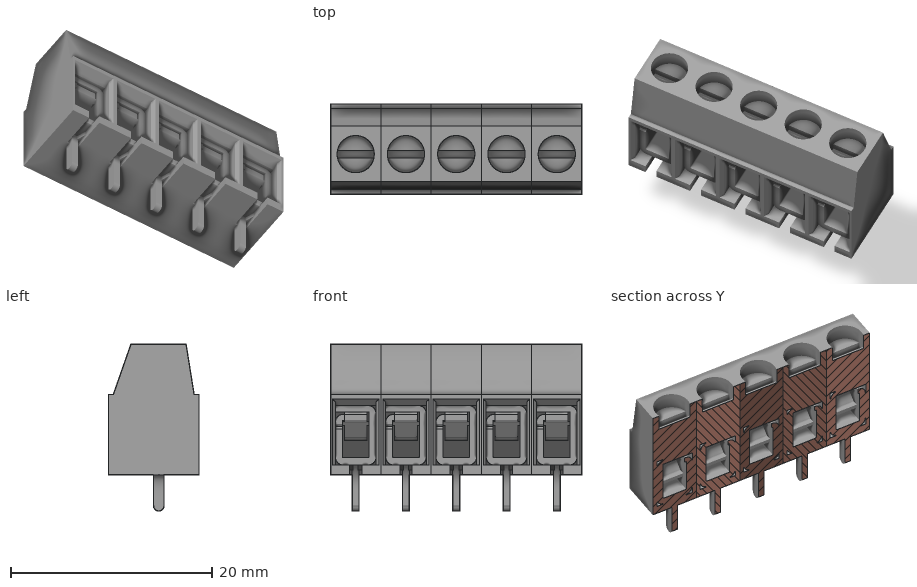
import cadquery as cq
import math

module_count = 5
row_length = 25.0
pitch = row_length / module_count

depth = 9.0
base_height = 8.0
height = 13.0
shoulder = 0.48
tower_top_front = 1.28
tower_top_back = 6.78

screw_x = pitch / 2
screw_y = 4.0
screw_diameter = 3.7
screw_head_z = 11.25
screw_slot_width = 0.75
screw_slot_depth = 0.75

floor_z = 0.98
mouth_left = 0.2
mouth_right = pitch - mouth_left
mouth_top = 7.52
recess_left = 0.48
recess_right = pitch - recess_left
recess_top = 6.9
side_lead_in = 0.45
roof_lead_in = 1.08
cage_front = 1.4
cage_back = 2 * screw_y - cage_front

cage_outer_radius = 0.8
cage_inner_radius = 0.1
window_left = 1.18
window_right = pitch - window_left
window_bottom = 1.72
window_top = 6.25
lap_right = 1.38
lap_bottom = 5.4
lap_top = 6.02
groove_bottom = 4.58
groove_slope_top = 4.8
groove_top = 4.98
groove_depth = 0.25

leaf_left = lap_right
leaf_right = pitch - leaf_left
leaf_front = 1.55
leaf_bend_z = 5.3
leaf_bottom = 3.4
leaf_thickness = 0.4
leaf_slope_angle = 43.0
leaf_tail = 0.75
leaf_upper_bend_radius = 0.2
leaf_lower_bend_radius = 1.15
leaf_tab_top = 5.3
leaf_tab_bottom = 4.92

pin_width = 0.7
pin_thickness = 1.05
pin_length = 3.6
pin_front = screw_y - pin_thickness / 2
slot_width = 1.22
slot_end_width = 0.5
slot_taper_length = 1.0
slot_step_z = 0.5
slot_deep_end = screw_y


def block(x_range, y_range, z_range):
    """Box spanning the given ranges."""
    size = [high - low for low, high in (x_range, y_range, z_range)]
    return cq.Workplane("XY").box(*size, centered=False).translate((x_range[0], y_range[0], z_range[0]))


def side_prism(outline, x_range):
    """Extrude a closed (y, z) outline along X."""
    start, end = x_range
    return cq.Workplane("YZ", origin=(start, 0, 0)).polyline(outline).close().extrude(end - start)


def housing_shell():
    outline = [
        (0, 0),
        (depth, 0),
        (depth, base_height),
        (depth - shoulder, base_height),
        (tower_top_back, height),
        (tower_top_front, height),
        (shoulder, base_height),
        (0, base_height),
    ]
    return side_prism(outline, (0, pitch))


def screw_recess():
    """Round well down to the screw head, and the driver slot across the head."""
    head = cq.Workplane("XY", origin=(screw_x, screw_y, screw_head_z))
    well = head.circle(screw_diameter / 2).extrude(height - screw_head_z)
    disc = head.circle(screw_diameter / 2).extrude(-screw_slot_depth)
    bar = head.rect(screw_diameter, screw_slot_width).extrude(-screw_slot_depth)
    return well.union(disc.intersect(bar))


def wire_entry():
    """Mouth with chamfered sides and a roof that slopes then levels, and a cavity for the cage."""
    plan = [
        (mouth_left, 0),
        (mouth_right, 0),
        (recess_right, side_lead_in),
        (recess_right, cage_front),
        (recess_left, cage_front),
        (recess_left, side_lead_in),
    ]
    mouth_plan = cq.Workplane("XY", origin=(0, 0, floor_z)).polyline(plan).close().extrude(mouth_top - floor_z)
    mouth_side = [
        (0, floor_z),
        (cage_front, floor_z),
        (cage_front, recess_top),
        (roof_lead_in, recess_top),
        (0, mouth_top),
    ]
    mouth = mouth_plan.intersect(side_prism(mouth_side, (mouth_left, mouth_right)))
    cavity = block((recess_left, recess_right), (cage_front, cage_back), (floor_z, recess_top))
    return mouth.union(cavity)


def cage():
    """Strip rolled into a frame, with its inner end lapped under its outer end at the top left."""
    cage_y = (cage_front, cage_back)
    left_part = block((recess_left, pitch / 2), cage_y, (floor_z, lap_top))
    left_part = left_part.edges("|Y and <X").fillet(cage_outer_radius)
    right_part = block((lap_right, recess_right), cage_y, (floor_z, recess_top))
    right_part = right_part.edges("|Y and >X").fillet(cage_outer_radius)
    roof = block((recess_left, pitch / 2), cage_y, (window_top, recess_top))

    window = block((window_left, window_right), cage_y, (window_bottom, lap_bottom))
    window = window.edges("|Y and <Z").fillet(cage_inner_radius)
    lap_opening = block((lap_right, window_right), cage_y, (lap_bottom, window_top))

    groove_outline = [
        (cage_front, groove_bottom),
        (cage_front + groove_depth, groove_slope_top),
        (cage_front + groove_depth, groove_top),
        (cage_front, groove_top),
    ]
    groove = side_prism(groove_outline, (recess_left, window_left))
    return left_part.union(right_part).union(roof).cut(window).cut(lap_opening).cut(groove)


def leaf_plate(left, right):
    """Bent sheet: upright front, slope down and back, then a short flat tail."""
    slope = math.radians(leaf_slope_angle)
    upper_turn = math.pi / 2 - slope
    leaf_back = leaf_front + leaf_thickness
    elbow_y = leaf_front + (leaf_bend_z - leaf_bottom) / math.tan(slope)
    tail_top = leaf_bottom + leaf_thickness
    outline = [
        (leaf_front + window_top - lap_top, window_top),
        (leaf_front, lap_top),
        (leaf_front, leaf_bend_z),
        (elbow_y, leaf_bottom),
        (elbow_y + leaf_tail, leaf_bottom),
        (elbow_y + leaf_tail, tail_top),
        (elbow_y + leaf_thickness * math.tan(slope / 2), tail_top),
        (leaf_back, leaf_bend_z + leaf_thickness * math.tan(upper_turn / 2)),
        (leaf_back, window_top),
    ]
    middle = (left + right) / 2
    upper_bend = cq.NearestToPointSelector((middle, leaf_front, leaf_bend_z))
    lower_bend = cq.NearestToPointSelector((middle, elbow_y, leaf_bottom))
    plate = side_prism(outline, (left, right))
    plate = plate.edges(upper_bend).fillet(leaf_upper_bend_radius)
    return plate.edges(lower_bend).fillet(leaf_lower_bend_radius)


def leaf():
    """Wire guard leaf, with side tabs that reach the window walls."""
    tab_zone = block((window_left, window_right), (0, depth), (leaf_tab_bottom, leaf_tab_top))
    tabs = leaf_plate(window_left, window_right).intersect(tab_zone)
    return leaf_plate(leaf_left, leaf_right).union(tabs)


def floor_slot():
    """Slot in the recess floor, open to the front: tapered above, deeper and square-ended below."""
    slot_x = (screw_x - slot_width / 2, screw_x + slot_width / 2)
    taper_start = pin_front - slot_taper_length
    upper_plan = [
        (slot_x[0], 0),
        (slot_x[1], 0),
        (slot_x[1], taper_start),
        (screw_x + slot_end_width / 2, pin_front),
        (screw_x - slot_end_width / 2, pin_front),
        (slot_x[0], taper_start),
    ]
    upper = cq.Workplane("XY").polyline(upper_plan).close().extrude(floor_z)
    lower = block(slot_x, (0, slot_deep_end), (0, slot_step_z))
    return upper.union(lower)


def pin():
    """Flat solder pin with a fully rounded end."""
    pin_x = (screw_x - pin_width / 2, screw_x + pin_width / 2)
    pin_y = (pin_front, pin_front + pin_thickness)
    tip_center_z = pin_thickness / 2 - pin_length
    shank = block(pin_x, pin_y, (tip_center_z, floor_z))
    tip = (
        cq.Workplane("YZ", origin=(pin_x[0], screw_y, tip_center_z))
        .circle(pin_thickness / 2)
        .extrude(pin_width)
    )
    return shank.union(tip)


def terminal_module():
    body = housing_shell().cut(screw_recess()).cut(wire_entry()).cut(floor_slot())
    return body.union(cage()).union(leaf()).union(pin())


first_module = terminal_module()
modules = [first_module.translate((index * pitch, 0, 0)) for index in range(module_count)]

result = cq.Compound.makeCompound([module.val() for module in modules])